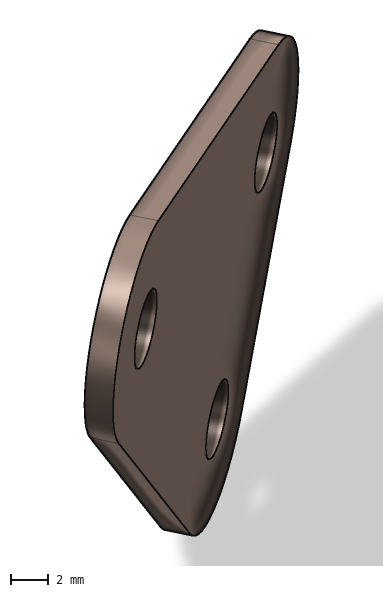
import cadquery as cq
import math

thickness = 1.59
corner_radius = 6.35
hole_diameter = 4.37

upper_hole_offset = (-13.89, 20.93)
side_hole_offset = (9.48, 11.03)

width = side_hole_offset[0] - upper_hole_offset[0] + 2 * corner_radius
height = upper_hole_offset[1] + 2 * corner_radius
lower_hole = (width / 2 - corner_radius - side_hole_offset[0], corner_radius - height / 2)


def from_lower_hole(offset):
    """Point in the YZ plane at an offset from the lower hole."""
    return (lower_hole[0] + offset[0], lower_hole[1] + offset[1])


upper_hole = from_lower_hole(upper_hole_offset)
side_hole = from_lower_hole(side_hole_offset)
hole_centres = [lower_hole, side_hole, upper_hole]


def polar_point(centre, angle):
    """Point on the rounded corner about a hole centre."""
    return (
        centre[0] + corner_radius * math.cos(angle),
        centre[1] + corner_radius * math.sin(angle),
    )


def outward_angle(start, end):
    """Direction of the outward normal of the edge from start to end."""
    return math.atan2(end[1] - start[1], end[0] - start[0]) - math.pi / 2


def make_plate():
    """Plate bounded by arcs about the holes and the straight lines tangent to them."""
    count = len(hole_centres)
    outline = cq.Workplane("YZ").workplane(offset=-thickness / 2)
    for index, centre in enumerate(hole_centres):
        previous_centre = hole_centres[index - 1]
        next_centre = hole_centres[(index + 1) % count]
        arc_start = outward_angle(previous_centre, centre)
        sweep = (outward_angle(centre, next_centre) - arc_start) % (2 * math.pi)
        start_point = polar_point(centre, arc_start)
        outline = outline.moveTo(*start_point) if index == 0 else outline.lineTo(*start_point)
        outline = outline.threePointArc(
            polar_point(centre, arc_start + sweep / 2),
            polar_point(centre, arc_start + sweep),
        )
    return outline.close().extrude(thickness)


def make_holes():
    """Cylinders that cut the through holes."""
    return (
        cq.Workplane("YZ")
        .workplane(offset=-thickness / 2)
        .pushPoints(hole_centres)
        .circle(hole_diameter / 2)
        .extrude(thickness)
    )


result = make_plate().cut(make_holes())